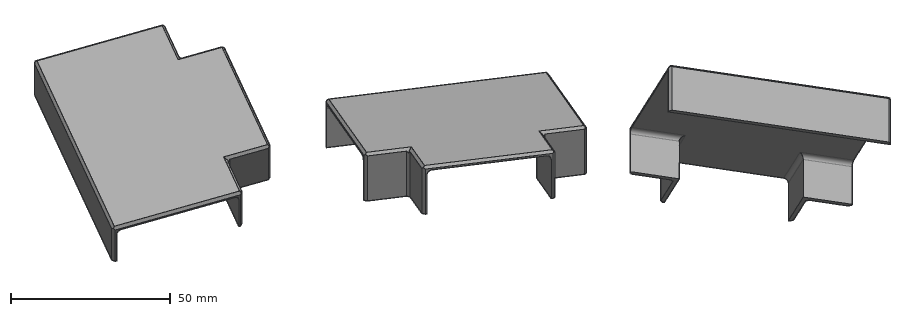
import cadquery as cq

length = 72.6
depth = 58.0
height = 16.4
duct_width = 43.4
wall = 1.45
outer_chamfer = 0.9
inner_radius = 1.5

branch_length = depth - duct_width
channel_width = duct_width - 2 * wall
channel_height = height - wall
main_center_y = (duct_width - depth) / 2
branch_top_y = depth / 2


def tee_body():
    """Solid tee with its roof outline and upright edges chamfered."""
    main = cq.Workplane("XY").box(length, duct_width, height, centered=(True, True, False))
    main = main.translate((0, main_center_y, 0))
    branch = cq.Workplane("XY").box(duct_width, depth, height, centered=(True, True, False))
    tee = main.union(branch).clean()
    roof_chamfered = tee.faces(">Z").edges().chamfer(outer_chamfer)
    return roof_chamfered.edges("|Z").chamfer(outer_chamfer)


def channel(run):
    """Duct space along X, standing on Z = 0, with rounded upper edges."""
    block = cq.Workplane("XY").box(run, channel_width, channel_height, centered=(True, True, False))
    return block.edges("|X and >Z").fillet(inner_radius)


main_channel = channel(length).translate((0, main_center_y, 0))

branch_run = branch_length + duct_width / 2
branch_channel = channel(branch_run).rotate((0, 0, 0), (0, 0, 1), 90)
branch_channel = branch_channel.translate((0, branch_top_y - branch_run / 2, 0))

result = tee_body().cut(main_channel).cut(branch_channel)